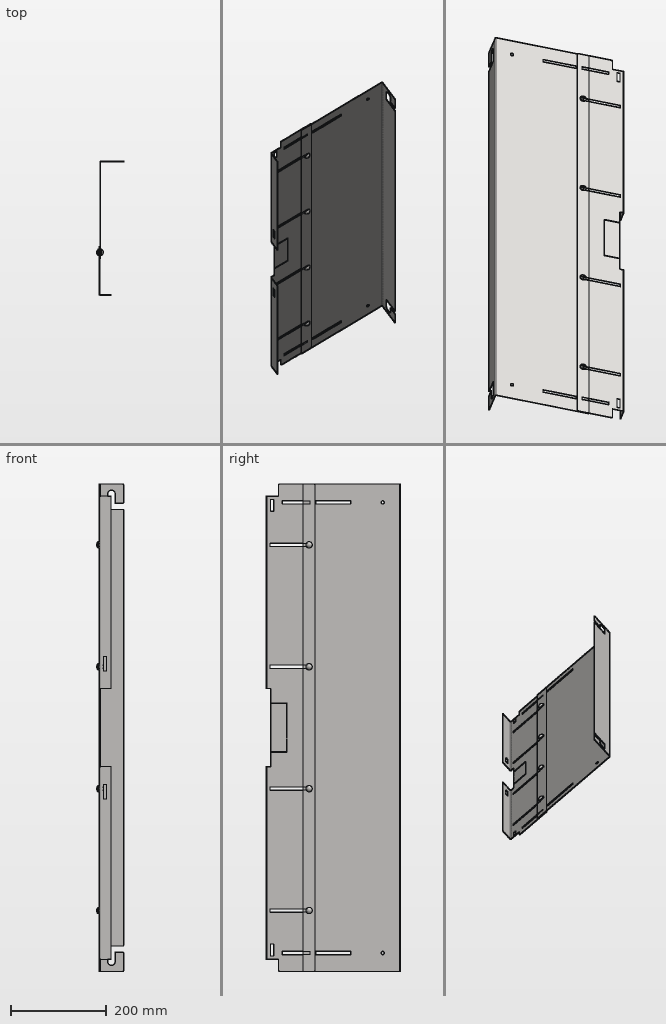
import cadquery as cq
import math

length = 1016.0
width = 279.0
thickness = 1.5
bend_radius = 2.0
slot_width = 6.4
mid_z = length / 2
drill_length = 10.0
through = (-10, 10)

front_panel_width = 102.0
front_flange_reach = 25.0
corner_notch = 25.0
grip_notch_length = 163.0
grip_notch_depth = 9.0
tab_length = 102.0
tab_back_y = 43.0
tab_slit = 0.5
bridge_offset = 23.0
bridge_width = 3.0

rear_panel_start = 76.0
rear_flange_reach = 52.0
hook_slot_start = 18.0
hook_slot_end = 34.0
hook_slot_depth = 13.0
hook_length = 41.0
hook_gap = 12.0
sheet_corner = 3.0

end_hole_z = 39.0
end_hole_y = 243.0
end_hole_diameter = slot_width
rear_slot_y = (104.0, 176.0)
front_slot_y = (34.0, 91.0)
upright_slot_length = 24.0
upright_slot_y = 12.0
upright_slot_z = 45.0
flange_slot_length = 30.0
flange_slot_x = 12.0
flange_slot_z = 375.0

fastener_count = 4
fastener_pitch = length / fastener_count
fastener_y = 89.0
shank_diameter = slot_width
adjusting_slot_end = 8.0
cap_radius = 6.6
rim_height = 2.0
head_height = 5.0
nut_height = 6.0
recess_width = 1.0
recess_length = 8.0
recess_depth = 2.5

fastener_zs = [fastener_pitch * (i + 0.5) for i in range(fastener_count)]


def at_both_ends(offset):
    """Z positions at the same distance from each panel end."""
    return [offset, length - offset]


def box(x_range, y_range, z_range):
    """Axis-aligned block from its three ranges."""
    size = [r[1] - r[0] for r in (x_range, y_range, z_range)]
    corner = (x_range[0], y_range[0], z_range[0])
    return cq.Workplane("XY").box(*size, centered=False).translate(corner)


def around(center, size):
    """Range of the given size about a center."""
    return (center - size / 2, center + size / 2)


def round_edge_at(body, point, radius):
    """Fillet the edge whose middle is nearest to the point."""
    return body.edges(cq.selectors.NearestToPointSelector(point)).fillet(radius)


def bent_sheet(face_x, flange_y, free_y, reach):
    """L-section sheet: web from free_y to flange_y at face_x, flange in +X out to reach."""
    inward = math.copysign(1, free_y - flange_y)
    inner_x = face_x + thickness
    inner_y = flange_y + inward * thickness
    outline = [
        (face_x, free_y),
        (face_x, flange_y),
        (reach, flange_y),
        (reach, inner_y),
        (inner_x, inner_y),
        (inner_x, free_y),
    ]
    sheet = cq.Workplane("XY").polyline(outline).close().extrude(length)
    sheet = round_edge_at(sheet, (face_x, flange_y, mid_z), bend_radius)
    return round_edge_at(sheet, (inner_x, inner_y, mid_z), bend_radius - thickness)


def web_slot(y_range, z):
    """Square-ended slot along Y through both webs."""
    return box(through, y_range, around(z, slot_width))


def round_bar(diameter, y, z, reach):
    """Cylinder along +X from the outer face of the front panel."""
    return cq.Workplane("YZ").center(y, z).circle(diameter / 2).extrude(reach)


def tab_slits():
    """Slits around the break-out tab, interrupted along its back by two small bridges."""
    slits = box(through, around(tab_back_y, tab_slit), around(mid_z, tab_length + tab_slit))
    for side in (-1, 1):
        end_z = mid_z + side * tab_length / 2
        bridge_z = mid_z + side * bridge_offset
        slits = slits.union(box(through, (0, tab_back_y), around(end_z, tab_slit)))
        slits = slits.cut(box(through, around(tab_back_y, 2 * tab_slit), around(bridge_z, bridge_width)))
    return slits


def front_outline():
    """Flanged front sheet with its corner notches, grip notch and rounded web corners."""
    panel = bent_sheet(0, 0, front_panel_width, front_flange_reach)
    across = (-10, front_flange_reach + 10)
    for z in at_both_ends(0):
        panel = panel.cut(box(across, (-10, corner_notch), around(z, 2 * corner_notch)))
    panel = panel.cut(box(across, (-10, grip_notch_depth), around(mid_z, grip_notch_length)))
    for corner_y in (corner_notch, front_panel_width):
        for z in at_both_ends(0):
            panel = round_edge_at(panel, (thickness / 2, corner_y, z), sheet_corner)
    return panel


def make_front_panel():
    """Outer sheet with its slots and break-out tab."""
    panel = front_outline().cut(tab_slits())
    for z in at_both_ends(end_hole_z):
        panel = panel.cut(web_slot(front_slot_y, z))
    for z in at_both_ends(upright_slot_z):
        slot_y = around(upright_slot_y, slot_width)
        panel = panel.cut(box(through, slot_y, around(z, upright_slot_length)))
    for z in at_both_ends(flange_slot_z):
        slot_x = around(flange_slot_x, slot_width)
        panel = panel.cut(box(slot_x, through, around(z, flange_slot_length)))
    for z in fastener_zs:
        panel = panel.cut(web_slot((adjusting_slot_end, fastener_y + shank_diameter / 2), z))
    return panel


def hook_cut():
    """L-shaped opening at the lower end of the rear flange: entry gap plus round-ended hook slot."""
    radius = (hook_slot_end - hook_slot_start) / 2
    top = hook_length + hook_gap
    outline = (
        cq.Workplane("XZ", origin=(0, width + 10, 0))
        .moveTo(hook_slot_start, top)
        .lineTo(hook_slot_start, hook_slot_depth + radius)
        .threePointArc(
            ((hook_slot_start + hook_slot_end) / 2, hook_slot_depth),
            (hook_slot_end, hook_slot_depth + radius),
        )
        .lineTo(hook_slot_end, hook_length)
        .lineTo(rear_flange_reach + 10, hook_length)
        .lineTo(rear_flange_reach + 10, top)
        .close()
    )
    return outline.extrude(20)


def make_rear_panel():
    """Inner sheet with hooks at both flange ends, end holes, slots and bolt holes."""
    panel = bent_sheet(thickness, width, rear_panel_start, rear_flange_reach)
    opening = hook_cut()
    panel = panel.cut(opening).cut(opening.mirror("XY", (0, 0, mid_z)))
    for z in at_both_ends(0) + at_both_ends(hook_length) + at_both_ends(hook_length + hook_gap):
        corner = (rear_flange_reach, width - thickness / 2, z)
        panel = round_edge_at(panel, corner, sheet_corner)

    for z in at_both_ends(end_hole_z):
        panel = panel.cut(round_bar(end_hole_diameter, end_hole_y, z, drill_length))
        panel = panel.cut(web_slot(rear_slot_y, z))
    for z in fastener_zs:
        panel = panel.cut(round_bar(shank_diameter, fastener_y, z, drill_length))
    return panel


def domed_cap(z, face_x, direction, cap_height):
    """Round cap on the sheet face at face_x: a straight rim, then a dome bulging along X."""
    rim_x = face_x + direction * rim_height
    crown_x = face_x + direction * cap_height
    rise = cap_height - rim_height
    sphere_radius = (cap_radius**2 + rise**2) / (2 * rise)
    half_angle = math.asin(cap_radius / sphere_radius) / 2
    arc_middle = (
        crown_x - direction * sphere_radius * (1 - math.cos(half_angle)),
        sphere_radius * math.sin(half_angle),
    )
    profile = (
        cq.Workplane("XY")
        .moveTo(face_x, 0)
        .lineTo(face_x, cap_radius)
        .lineTo(rim_x, cap_radius)
        .threePointArc(arc_middle, (crown_x, 0))
        .close()
    )
    return profile.revolve(360, (0, 0, 0), (1, 0, 0)).translate((0, fastener_y, z))


def make_bolt(z):
    """Domed head with a cross recess, and a shank through both webs."""
    shank = round_bar(shank_diameter, fastener_y, z, 2 * thickness)
    bolt = domed_cap(z, 0, -1, head_height).union(shank)
    recess_x = (-head_height, recess_depth - head_height)
    long_y = around(fastener_y, recess_length)
    short_y = around(fastener_y, recess_width)
    bolt = bolt.cut(box(recess_x, long_y, around(z, recess_width)))
    return bolt.cut(box(recess_x, short_y, around(z, recess_length)))


def make_nut(z):
    """Domed cap closing the shank end on the inner side."""
    return domed_cap(z, 2 * thickness, 1, nut_height)


front_panel = make_front_panel()
rear_panel = make_rear_panel()
bolts = [make_bolt(z) for z in fastener_zs]
nuts = [make_nut(z) for z in fastener_zs]

result = cq.Compound.makeCompound(
    [front_panel.val(), rear_panel.val()] + [body.val() for body in bolts + nuts]
)